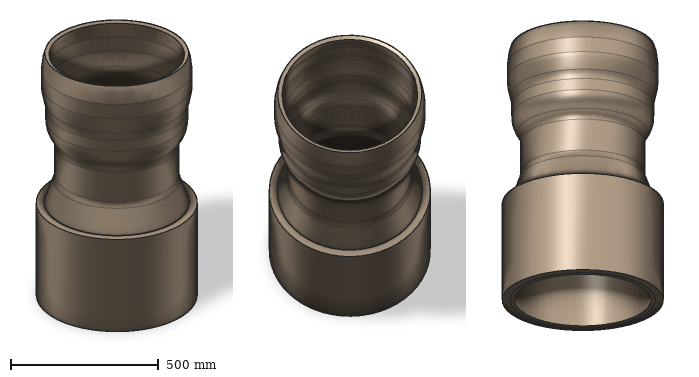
import cadquery as cq
import math

sleeve_radius = 545.0 / 2
sleeve_height = 351.0

tail_radius = 246.0
neck_radius = 420.0 / 2
socket_radius = 480.0 / 2
bulge_radius = 510.0 / 2
wall = (420.0 - 390.0) / 2

cone_bottom = 353.0
neck_bottom = 462.0
neck_top = 575.0
socket_bottom = 671.0
socket_top = 711.0
bulge_bottom = 803.0
bulge_top = 856.5
rim_height = 920.0

cone_angle = math.radians(21)
cone_bend_radius = 62.0
shoulder_hollow_height = 35.0
waist_hollow_height = 32.0
rim_radius = 243.0


def arc_point(center, radius, angle):
    """Point at an angle above the outward radial direction, as (r, z)."""
    return (center[0] + radius * math.cos(angle), center[1] + radius * math.sin(angle))


def add_step(path, inset, lower_radius, upper_radius, bottom, top, hollow_height):
    """Widen upward by a hollow arc and a rounded arc tangent to each other and to both cylinders."""
    height = top - bottom
    turn = 2 * math.atan((upper_radius - lower_radius) / height)
    hollow = hollow_height / math.sin(turn)
    rounded = (height - hollow_height) / math.sin(turn)
    hollow_center = (lower_radius + hollow, bottom)
    rounded_center = (upper_radius - rounded, top)
    path = path.lineTo(lower_radius - inset, bottom)
    path = path.threePointArc(
        arc_point(hollow_center, hollow + inset, math.pi - turn / 2),
        arc_point(hollow_center, hollow + inset, math.pi - turn),
    )
    return path.threePointArc(
        arc_point(rounded_center, rounded - inset, -turn / 2),
        arc_point(rounded_center, rounded - inset, 0),
    )


def make_envelope(inset):
    """Solid of revolution bounded by the adapter's outer surface moved inward by the inset."""
    path = cq.Workplane("XZ").lineTo(tail_radius - inset, 0)
    path = path.lineTo(tail_radius - inset, cone_bottom - inset * math.tan(cone_angle / 2))

    bend_center = (neck_radius + cone_bend_radius, neck_bottom)
    bend = cone_bend_radius + inset
    path = path.lineTo(*arc_point(bend_center, bend, math.pi + cone_angle))
    path = path.threePointArc(
        arc_point(bend_center, bend, math.pi + cone_angle / 2),
        arc_point(bend_center, bend, math.pi),
    )

    path = add_step(
        path, inset, neck_radius, socket_radius, neck_top, socket_bottom, shoulder_hollow_height
    )
    path = add_step(
        path, inset, socket_radius, bulge_radius, socket_top, bulge_bottom, waist_hollow_height
    )

    rim_rise = rim_height - bulge_top
    rim_turn = 2 * math.atan((bulge_radius - rim_radius) / rim_rise)
    rim_curve = rim_rise / math.sin(rim_turn)
    rim_center = (bulge_radius - rim_curve, bulge_top)
    path = path.lineTo(bulge_radius - inset, bulge_top)
    path = path.threePointArc(
        arc_point(rim_center, rim_curve - inset, rim_turn / 2),
        arc_point(rim_center, rim_curve - inset, rim_turn),
    )
    axis_height = rim_center[1] - rim_center[0] * math.tan(rim_turn)
    path = path.lineTo(0, axis_height).close()
    return path.revolve(360, (0, 0, 0), (0, 1, 0))


def make_adapter():
    return make_envelope(0).cut(make_envelope(wall))


def make_sleeve():
    return cq.Workplane("XY").circle(sleeve_radius).circle(tail_radius).extrude(sleeve_height)


adapter = make_adapter()
sleeve = make_sleeve()
result = cq.Compound.makeCompound([adapter.val(), sleeve.val()])